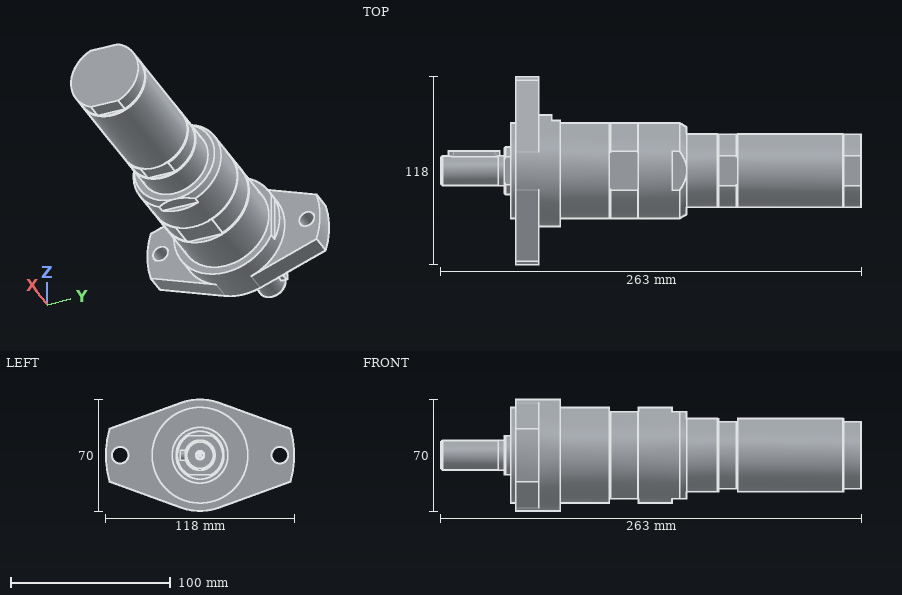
import cadquery as cq
import math

shaft_step_x = 35.8
nut_x = 39.7
pilot_x = 43.7
flange_x = 46.8
flange_end_x = 61.3
port_flat_x = 69.5
collar_end_x = 74.7
gear_flats = (105.5, 123.5)
nose_flats = (144.6, 153.9)
nose_cone_x = 149.5
tail_flats = (173.8, 185.7)
end_flats = (252.2, 263.0)
gearbox_end_x = nose_flats[1]
total_length = end_flats[1]

shaft_tip_dia = 18.7
shaft_dia = 19.0
nut_dia = 30.0
seal_dia = 35.0
gearbox_dia = 60.0
collar_dia = 70.0
tail_dia = 46.0

shaft_chamfer = 1.0
nut_chamfer = 0.8
seal_groove_depth = 0.5
nose_cone_angle = 30
joint_groove_width = 0.8
narrow_groove_width = 0.3
joint_groove_depth = 0.3

nut_across_flats = 24.5
gearbox_across_flats = 54.7
tail_across_flats = 42.0

flange_span = 118.0
flange_side_angle = 20
bolt_hole_dia = 10.3
bolt_spacing = 100.0

port_flat_y = 31.5

key_start_x = 4.7
key_length = 32.0
key_width = 6.0
key_top_y = 12.4

centre_mouth_dia = 5.5
centre_bore_dia = 4.0
centre_pilot_dia = 1.55
centre_bore_depth = 1.3
centre_pilot_depth = 5.3
centre_cone_angle = 90


def cylinder(start_x, end_x, diameter):
    """Round bar along X between two stations."""
    return cq.Workplane("YZ", origin=(start_x, 0, 0)).circle(diameter / 2).extrude(end_x - start_x)


def ring(start_x, end_x, outer_dia, inner_dia):
    """Tube along X between two stations."""
    return cylinder(start_x, end_x, outer_dia).cut(cylinder(start_x, end_x, inner_dia))


def cut_flats(body, span, across):
    """Mill two parallel flats, facing +Z and -Z, over a stretch of the axis."""
    start_x, end_x = span
    slab = cq.Workplane("XY").box(end_x - start_x, collar_dia, collar_dia, centered=(False, True, False))
    upper = slab.translate((start_x, 0, across / 2))
    lower = slab.translate((start_x, 0, -across / 2 - collar_dia))
    return body.cut(upper).cut(lower)


def make_shaft():
    tip = cylinder(0, shaft_step_x, shaft_tip_dia).faces("<X").chamfer(shaft_chamfer)
    return tip.union(cylinder(shaft_step_x, pilot_x, shaft_dia))


def make_key():
    """Round-ended key standing proud of the shaft on the +Y side."""
    return (
        cq.Workplane("XZ", origin=(key_start_x + key_length / 2, 0, 0))
        .slot2D(key_length, key_width)
        .extrude(-key_top_y)
    )


def make_centre_hole():
    """Countersunk bore with a conical bottom that leads into a small pilot hole."""
    mouth_r = centre_mouth_dia / 2
    bore_r = centre_bore_dia / 2
    pilot_r = centre_pilot_dia / 2
    mouth_depth = mouth_r - bore_r
    cone_height = (bore_r - pilot_r) / math.tan(math.radians(centre_cone_angle / 2))
    cone_depth = centre_bore_depth + cone_height
    return (
        cq.Workplane("XY")
        .polyline([
            (0, 0),
            (0, mouth_r),
            (mouth_depth, bore_r),
            (centre_bore_depth, bore_r),
            (cone_depth, pilot_r),
            (centre_pilot_depth, pilot_r),
            (centre_pilot_depth, 0),
        ])
        .close()
        .revolve(360, (0, 0, 0), (1, 0, 0))
    )


def make_nut():
    nut = cylinder(nut_x, pilot_x, nut_dia).faces("<X").chamfer(nut_chamfer)
    return cut_flats(nut, (nut_x, pilot_x), nut_across_flats)


def make_collar():
    """Round collar through the flange, with a flat on its +Y side at the rear."""
    collar = cylinder(flange_x, collar_end_x, collar_dia)
    flat_cut = cq.Workplane("XY").box(
        collar_end_x - port_flat_x, collar_dia, collar_dia, centered=(False, False, True)
    )
    return collar.cut(flat_cut.translate((port_flat_x, port_flat_y, 0)))


def make_flange_ears():
    """Two tapering ears whose straight sides are tangent to the collar and whose ends are round."""
    angle = math.radians(flange_side_angle)
    tangent_y = collar_dia / 2 * math.sin(angle)
    tangent_z = collar_dia / 2 * math.cos(angle)
    tip_y = collar_dia / 2 / math.sin(angle)
    outline = [
        (tip_y, 0),
        (tangent_y, tangent_z),
        (-tangent_y, tangent_z),
        (-tip_y, 0),
        (-tangent_y, -tangent_z),
        (tangent_y, -tangent_z),
    ]
    thickness = flange_end_x - flange_x
    plane = cq.Workplane("YZ", origin=(flange_x, 0, 0))
    plate = plane.polyline(outline).close().extrude(thickness)
    bolt_holes = (
        plane.pushPoints([(-bolt_spacing / 2, 0), (bolt_spacing / 2, 0)])
        .circle(bolt_hole_dia / 2)
        .extrude(thickness)
    )
    return plate.intersect(cylinder(flange_x, flange_end_x, flange_span)).cut(bolt_holes)


def make_gearbox():
    """Pilot, main barrel and the conical nose behind it."""
    barrel = cylinder(pilot_x, nose_cone_x, gearbox_dia)
    nose_length = gearbox_end_x - nose_cone_x
    nose_end_r = gearbox_dia / 2 - nose_length * math.tan(math.radians(nose_cone_angle))
    nose = (
        cq.Workplane("YZ", origin=(nose_cone_x, 0, 0))
        .circle(gearbox_dia / 2)
        .workplane(offset=nose_length)
        .circle(nose_end_r)
        .loft(ruled=True)
    )
    return barrel.union(nose)


def cut_joint_groove(body, end_x, width, diameter):
    """Shallow groove around the motor, up to end_x, where two housing sections meet."""
    return body.cut(ring(end_x - width, end_x, collar_dia, diameter - 2 * joint_groove_depth))


housing = make_gearbox().union(cylinder(gearbox_end_x, total_length, tail_dia))
for flats in (gear_flats, nose_flats):
    housing = cut_flats(housing, flats, gearbox_across_flats)
for flats in (tail_flats, end_flats):
    housing = cut_flats(housing, flats, tail_across_flats)
housing = cut_joint_groove(housing, gear_flats[0] + joint_groove_width, joint_groove_width, gearbox_dia)
housing = cut_joint_groove(housing, gear_flats[1], narrow_groove_width, gearbox_dia)
for groove_end_x in (tail_flats[0], tail_flats[1], end_flats[0]):
    housing = cut_joint_groove(housing, groove_end_x, joint_groove_width, tail_dia)

housing = housing.cut(ring(pilot_x, pilot_x + seal_groove_depth, seal_dia, nut_dia))

result = housing
for piece in (make_collar(), make_flange_ears(), make_nut(), make_shaft(), make_key()):
    result = result.union(piece)
result = result.cut(make_centre_hole())